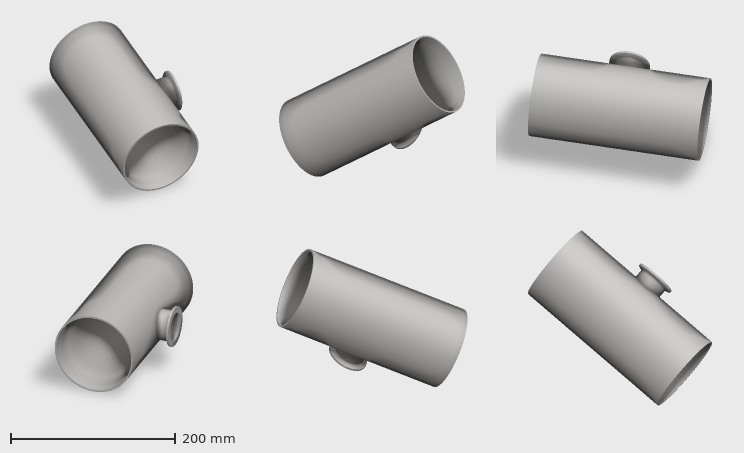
import cadquery as cq
import math

tube_length = 209.5
tube_od = 101.6
tube_id = 97.5

branch_od = 38.1
branch_id = 34.8
flange_od = 50.3
flange_rim = 2.7
flange_back_angle = 20.0
neck_fillet = 1.5
weld_fillet = 1.5
overall_width = 117.5

tube_radius = tube_od / 2
branch_radius = branch_od / 2
flange_radius = flange_od / 2
flange_face_y = overall_width - tube_radius


def cylinder_x(diameter):
    """Cylinder along X with the length of the tube, centred on the origin."""
    return cq.Workplane("YZ").circle(diameter / 2).extrude(tube_length / 2, both=True)


def ferrule_body():
    """Solid branch and flange, turned about Y and starting on the tube axis."""
    slope = math.radians(flange_back_angle)
    rim_y = flange_face_y - flange_rim

    arc_center_r = branch_radius + neck_fillet
    slope_end_r = arc_center_r - neck_fillet * math.sin(slope)
    slope_end_y = rim_y - (flange_radius - slope_end_r) * math.tan(slope)
    arc_center_y = slope_end_y - neck_fillet * math.cos(slope)
    mid_angle = (math.pi / 2 + slope + math.pi) / 2
    arc_mid = (
        arc_center_r + neck_fillet * math.cos(mid_angle),
        arc_center_y + neck_fillet * math.sin(mid_angle),
    )

    return (
        cq.Workplane("XY")
        .lineTo(branch_radius, 0)
        .lineTo(branch_radius, arc_center_y)
        .threePointArc(arc_mid, (slope_end_r, slope_end_y))
        .lineTo(flange_radius, rim_y)
        .lineTo(flange_radius, flange_face_y)
        .lineTo(0, flange_face_y)
        .close()
        .revolve(360, (0, 0, 0), (0, 1, 0))
    )


def weld_edges(body):
    """Edges of the saddle curve where the branch meets the tube."""
    saddle_box = cq.selectors.BoxSelector(
        (-flange_radius, tube_radius / 2, -flange_radius),
        (flange_radius, tube_radius + weld_fillet, flange_radius),
        boundingbox=True,
    )
    return body.edges(saddle_box)


outer_body = cylinder_x(tube_od).union(ferrule_body())
outer_body = weld_edges(outer_body).fillet(weld_fillet)

branch_bore = cq.Workplane("XZ").circle(branch_id / 2).extrude(-flange_face_y)

result = outer_body.cut(cylinder_x(tube_id)).cut(branch_bore)